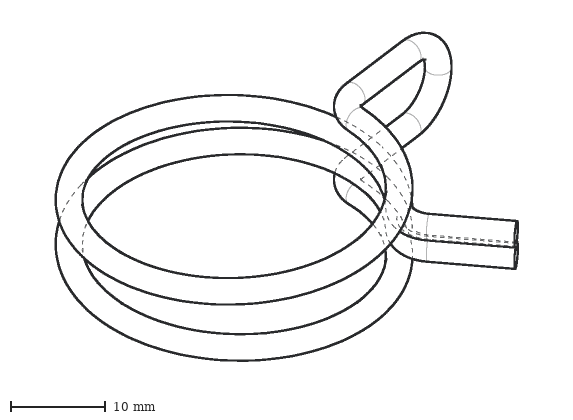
import cadquery as cq
import math


overall_length = 50.55
overall_height = 12.4
ring_outer_diameter = 37.6
wire_diameter = 2.85
tail_spacing = 2.8
bend_radius = 3.55
leg_angle = 30
tail_reach = 30.0

LOOP_SIDE = -1
TAIL_SIDE = 1

wire_radius = wire_diameter / 2
coil_radius = ring_outer_diameter / 2 - wire_radius
loop_height = overall_height / 2 - wire_radius
tail_height = tail_spacing / 2
loop_end_y = overall_length - ring_outer_diameter / 2 - wire_radius
loop_reach = loop_end_y / math.cos(math.radians(leg_angle))
loop_radius = loop_height

bend_centre_reach = coil_radius + bend_radius
bend_span = math.degrees(math.asin(bend_radius / bend_centre_reach))
leg_start_reach = math.sqrt(bend_centre_reach**2 - bend_radius**2)

coil_end_angle = leg_angle - bend_span
coil_turn = 360 + 2 * coil_end_angle
coil_rise = loop_height - tail_height


def polar(reach, angle, height):
    """Point at a distance from the coil axis, at an angle from +Y towards +X."""
    turn = math.radians(angle)
    return cq.Vector(reach * math.sin(turn), reach * math.cos(turn), height)


def bend_edge(side, height):
    """Level arc from the coil to a leg on the given side."""
    centre = polar(bend_centre_reach, side * coil_end_angle, height)
    coil_point = polar(coil_radius, side * coil_end_angle, height)
    leg_point = polar(leg_start_reach, side * leg_angle, height)
    chord_middle = (coil_point + leg_point) * 0.5
    arc_middle = centre + (chord_middle - centre).normalized() * bend_radius
    return cq.Edge.makeThreePointArc(coil_point, arc_middle, leg_point)


def leg_edge(side, height, reach):
    """Straight radial stretch from the end of the bend out to the given reach."""
    return cq.Edge.makeLine(
        polar(leg_start_reach, side * leg_angle, height),
        polar(reach, side * leg_angle, height),
    )


def loop_edge():
    """Quarter circle from the loop leg down to the mirror plane."""
    centre_reach = loop_reach - loop_radius
    diagonal = loop_radius * math.sqrt(0.5)
    return cq.Edge.makeThreePointArc(
        polar(centre_reach, LOOP_SIDE * leg_angle, loop_height),
        polar(centre_reach + diagonal, LOOP_SIDE * leg_angle, diagonal),
        polar(loop_reach, LOOP_SIDE * leg_angle, 0),
    )


def coil_edge():
    """Right-handed helix that climbs from the tail bend to the loop bend."""
    pitch = coil_rise * 360 / coil_turn
    helix = cq.Wire.makeHelix(pitch, coil_rise, coil_radius).rotate(
        cq.Vector(), cq.Vector(0, 0, 1), 90 - coil_end_angle
    )
    return helix.translate(cq.Vector(0, 0, tail_height)).Edges()[0]


def wire_along(edge):
    """Round wire swept along one centreline edge, starting on an upright section.

    The upright section lets the gently sloping coil meet the level bends face to face.
    """
    tangent = edge.tangentAt(0)
    section = cq.Plane(origin=edge.startPoint(), normal=cq.Vector(tangent.x, tangent.y, 0))
    path = cq.Wire.assembleEdges([edge])
    return cq.Workplane(section).circle(wire_radius).sweep(path, isFrenet=True)


def upper_coil():
    """The upper of the two mirrored coils, from the middle of the loop to the cut tail."""
    half = wire_along(coil_edge())
    for edge in (
        bend_edge(LOOP_SIDE, loop_height),
        leg_edge(LOOP_SIDE, loop_height, loop_reach - loop_radius),
        loop_edge(),
        bend_edge(TAIL_SIDE, tail_height),
        leg_edge(TAIL_SIDE, tail_height, tail_reach),
    ):
        half = half.union(wire_along(edge))
    return half


upper = upper_coil()
result = upper.union(upper.mirror("XY"))